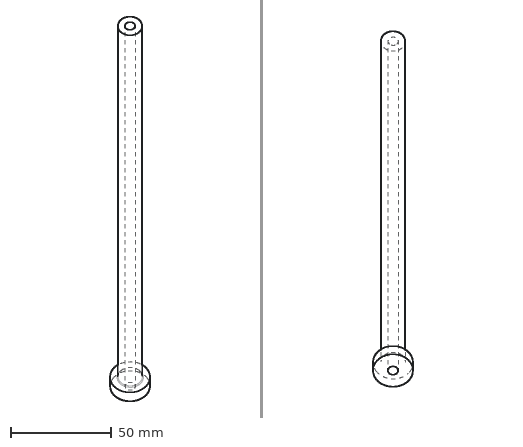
import cadquery as cq

total_length = 282.0
head_diameter = 20.0
head_height = 7.0
shaft_diameter = 12.0
bore_diameter = 5.0
root_fillet = 0.5


def cylinder(diameter, height):
    """Cylinder on the Z axis, standing on the XY plane."""
    return cq.Workplane("XY").circle(diameter / 2).extrude(height)


head = cylinder(head_diameter, head_height)
shaft = cylinder(shaft_diameter, total_length)
body = head.union(shaft)

root_edge = body.edges(cq.selectors.RadiusNthSelector(0)).edges("<Z")
body = root_edge.fillet(root_fillet)

result = body.cut(cylinder(bore_diameter, total_length))